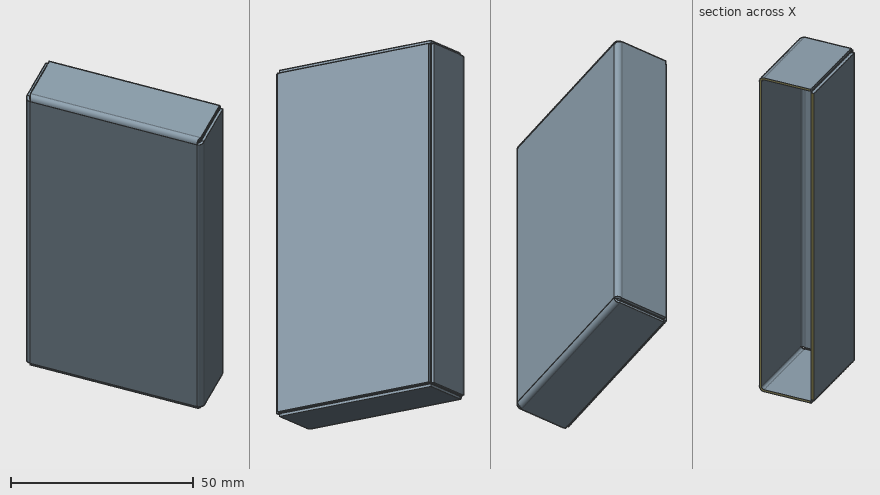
import cadquery as cq

WIDTH = 52.0
DEPTH = 16.8
HEIGHT = 99.0

SHEET = 0.8
PANEL = 1.0
CORNER_SETBACK = 1.0
PANEL_SETBACK = 1.1
BEND_RADIUS = 1.6
BEND_RELIEF = 0.5
MIDDLE_RELIEF_SHARE = 0.75

FRONT_Y = -DEPTH / 2
BACK_Y = DEPTH / 2
RIM_Y = BACK_Y - PANEL
FLANGE_WIDTH = WIDTH - 2 * CORNER_SETBACK
FLANGE_HEIGHT = HEIGHT - 2 * CORNER_SETBACK
BEND_END_Y = FRONT_Y + BEND_RADIUS


def box_between(width, height, y_start, y_end):
    """Box centred in X and Z that spans y_start to y_end."""
    middle_y = (y_start + y_end) / 2
    return cq.Workplane("XY").box(width, y_end - y_start, height).translate((0, middle_y, 0))


def folded_channel(span, length):
    """U channel along Z: front wall, two rounded bends and two flanges, span across X."""
    inner_radius = BEND_RADIUS - SHEET
    outer = box_between(span, length, FRONT_Y, RIM_Y).edges("|Z and <Y").fillet(BEND_RADIUS)
    cavity = box_between(span - 2 * SHEET, length, FRONT_Y + SHEET, RIM_Y)
    channel = outer.cut(cavity.edges("|Z and <Y").fillet(inner_radius))
    half_length = length / 2
    front_half_length = half_length - BEND_RELIEF
    middle_y = (FRONT_Y + BEND_END_Y) / 2
    middle_half_length = half_length - MIDDLE_RELIEF_SHARE * BEND_RELIEF
    trimmed = (
        cq.Workplane("YZ")
        .moveTo(RIM_Y, -half_length)
        .lineTo(RIM_Y, half_length)
        .lineTo(BEND_END_Y, half_length)
        .threePointArc((middle_y, middle_half_length), (FRONT_Y, front_half_length))
        .lineTo(FRONT_Y, -front_half_length)
        .threePointArc((middle_y, -middle_half_length), (BEND_END_Y, -half_length))
        .close()
        .extrude(span / 2, both=True)
    )
    return channel.intersect(trimmed)


def make_tray():
    """Folded tray with flanges on all four sides and open corners."""
    side_channel = folded_channel(WIDTH, FLANGE_HEIGHT)
    end_channel = folded_channel(HEIGHT, FLANGE_WIDTH).rotate((0, 0, 0), (0, 1, 0), 90)
    return side_channel.union(end_channel)


def make_back_panel():
    """Flat panel that closes the open back of the tray."""
    panel_width = WIDTH - 2 * PANEL_SETBACK
    panel_height = HEIGHT - 2 * PANEL_SETBACK
    return box_between(panel_width, panel_height, RIM_Y, BACK_Y)


tray = make_tray()
back_panel = make_back_panel()

result = cq.Compound.makeCompound([tray.val(), back_panel.val()])